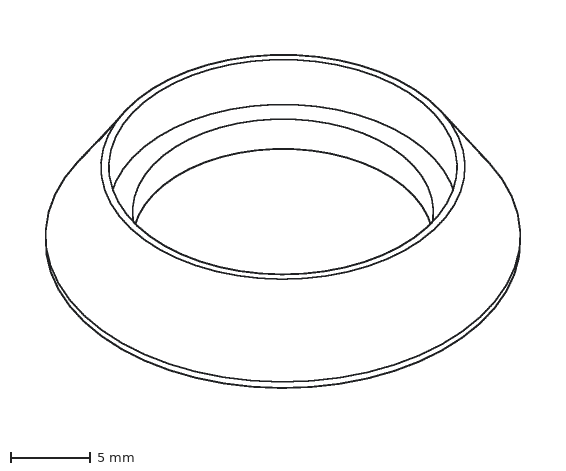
import cadquery as cq

base_radius = 15.0
top_radius = 11.5
height = 6.0
rim_height = 0.5

bore_radius = 9.5
seat_radius = 11.0
seat_depth = 3.6
seat_level = height - seat_depth


def ring_section():
    """Half section of the ring in the XZ plane, as (radius, height) points."""
    return (
        cq.Workplane("XZ")
        .moveTo(bore_radius, 0)
        .lineTo(base_radius, 0)
        .lineTo(base_radius, rim_height)
        .lineTo(top_radius, height)
        .lineTo(seat_radius, height)
        .lineTo(seat_radius, seat_level)
        .lineTo(bore_radius, seat_level)
        .close()
    )


result = ring_section().revolve(360, (0, 0, 0), (0, 1, 0))